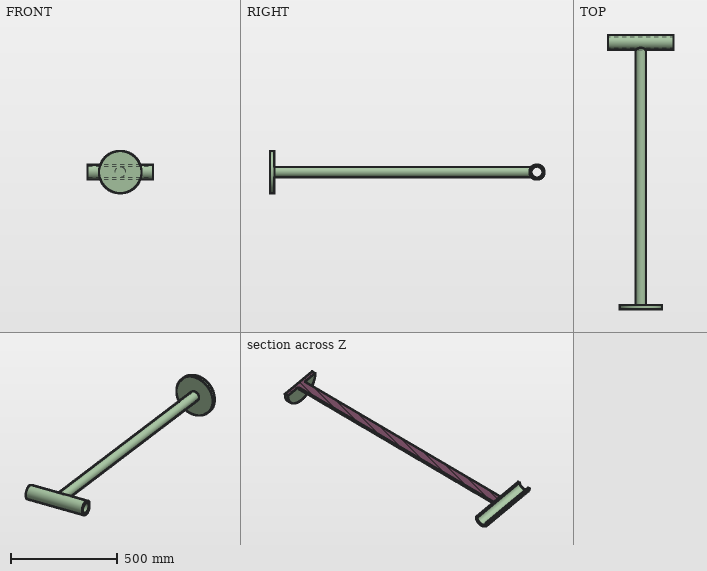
import cadquery as cq

overall_length = 1290.0

tube_length = 310.0
tube_outer_diameter = 71.0
tube_bore_diameter = 52.0

rod_diameter = 50.0
disc_diameter = 200.0
disc_thickness = 20.0

tube_center_y = overall_length - tube_outer_diameter / 2


def cylinder_along_x(diameter):
    """Solid cylinder on the tube axis, as long as the tube."""
    return (
        cq.Workplane("YZ", origin=(-tube_length / 2, tube_center_y, 0))
        .circle(diameter / 2)
        .extrude(tube_length)
    )


def cylinder_along_y(diameter, length):
    """Solid cylinder on the Y axis, starting at Y = 0."""
    return cq.Workplane("XZ").circle(diameter / 2).extrude(-length)


def make_tube():
    """Plain cross tube, open at both ends."""
    return cylinder_along_x(tube_outer_diameter).cut(cylinder_along_x(tube_bore_diameter))


def make_stem():
    """Disc and rod in one piece, with the rod's far end coped to fit the tube."""
    disc = cylinder_along_y(disc_diameter, disc_thickness)
    rod = cylinder_along_y(rod_diameter, tube_center_y)
    return disc.union(rod).cut(cylinder_along_x(tube_outer_diameter))


tube = make_tube()
stem = make_stem()

result = cq.Compound.makeCompound([tube.val(), *stem.solids().vals()])